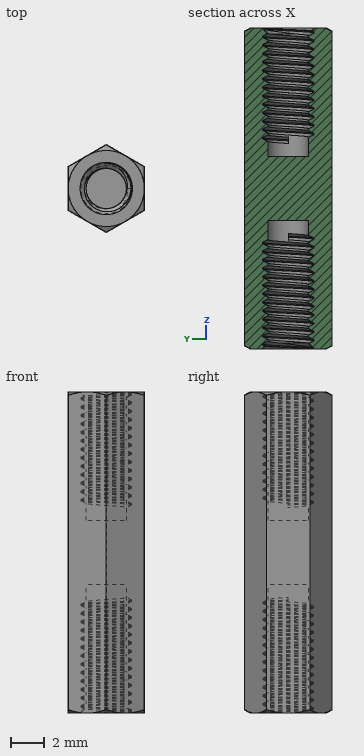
import cadquery as cq
import math

LENGTH = 19.0
ACROSS_FLATS = 4.5
ACROSS_CORNERS = ACROSS_FLATS / math.cos(math.pi / 6)
CORNER_CHAMFER_ANGLE = math.radians(30)

BORE_RADIUS = 2.38 / 2
THREAD_RADIUS = 3.0 / 2
THREAD_PITCH = 2 * THREAD_RADIUS / 6
HOLE_DEPTH = 7.6
MOUTH_RADIUS = 3.1 / 2
THREAD_RUNOUT = 0.95
CREST_FLAT = THREAD_PITCH / 4
ROOT_FLAT = THREAD_PITCH / 8
CUT_OVERLAP = 0.04


def hex_body():
    """Hexagonal bar with its corners turned to a cone at both ends."""
    bar = cq.Workplane("XY").polygon(6, ACROSS_CORNERS).extrude(LENGTH)
    bar = bar.rotate((0, 0, 0), (0, 0, 1), 30)
    face_radius = ACROSS_FLATS / 2
    slope = math.tan(CORNER_CHAMFER_ANGLE)
    middle_radius = face_radius + LENGTH / 2 / slope
    double_cone = (
        cq.Workplane("XZ")
        .moveTo(0, 0)
        .lineTo(face_radius, 0)
        .lineTo(middle_radius, LENGTH / 2)
        .lineTo(face_radius, LENGTH)
        .lineTo(0, LENGTH)
        .close()
        .revolve(360, (0, 0, 0), (0, 1, 0))
    )
    return bar.intersect(double_cone)


def bore():
    """Flat-bottomed round bore below the top face."""
    return cq.Workplane("XY").workplane(offset=LENGTH - HOLE_DEPTH).circle(BORE_RADIUS).extrude(HOLE_DEPTH)


def countersink():
    """45 degree cone that opens the bore at the top face."""
    depth = MOUTH_RADIUS - BORE_RADIUS
    return (
        cq.Workplane("XY")
        .workplane(offset=LENGTH - depth)
        .circle(BORE_RADIUS)
        .workplane(offset=depth)
        .circle(MOUTH_RADIUS)
        .loft()
    )


def thread_groove():
    """Right-handed helical groove, running out through the top face."""
    inner_radius = BORE_RADIUS - CUT_OVERLAP
    flank_slope = (THREAD_PITCH - CREST_FLAT - ROOT_FLAT) / 2 / (THREAD_RADIUS - BORE_RADIUS)
    outer_half = ROOT_FLAT / 2
    inner_half = outer_half + flank_slope * (THREAD_RADIUS - inner_radius)
    bottom = LENGTH - HOLE_DEPTH + THREAD_RUNOUT
    height = LENGTH - bottom + THREAD_PITCH
    helix = cq.Wire.makeHelix(THREAD_PITCH, height, BORE_RADIUS, cq.Vector(0, 0, bottom))
    return (
        cq.Workplane("XZ")
        .moveTo(inner_radius, bottom - inner_half)
        .lineTo(THREAD_RADIUS, bottom - outer_half)
        .lineTo(THREAD_RADIUS, bottom + outer_half)
        .lineTo(inner_radius, bottom + inner_half)
        .close()
        .sweep(cq.Workplane(obj=helix), isFrenet=True)
    )


hole_cutters = (bore(), thread_groove(), countersink())
result = hex_body()
for turn in (0, 180):
    for cutter in hole_cutters:
        result = result.cut(cutter.rotate((0, 0, LENGTH / 2), (1, 0, LENGTH / 2), turn))